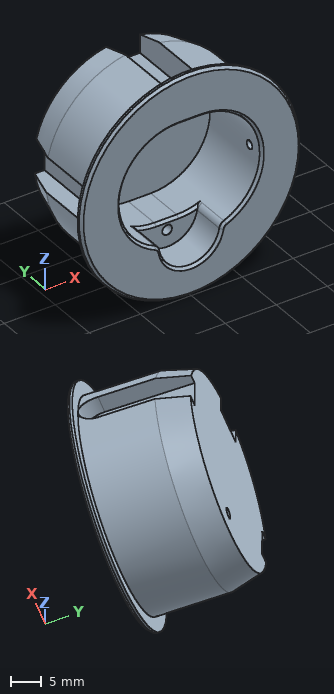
import cadquery as cq

flange_diameter = 43.2
flange_thickness = 1.0
edge_chamfer = 0.5

total_depth = 20.0
body_radius = 19.0
back_radius = 17.5
taper_length = 5.65

recess_height = 23.2
recess_width = 27.6
recess_center_z = 0.85
recess_depth = 15.1

pocket_radius = 5.95
pocket_center_z = -9.97
pocket_depth = 7.0
pocket_corner_radius = 1.5
pocket_hole_diameter = 1.9
pocket_hole_z = -12.65

channel_width = 6.6
top_channel_floor = 13.6
side_channel_floor = 15.4
top_hole_diameter = 2.5
top_hole_y = 4.0
side_hole_diameter = 1.6
side_hole_y = 3.5


def front_plane(y, z=0.0):
    """Plane facing +Y, with local x along -X and local y along +Z."""
    return cq.Workplane(cq.Plane((0, y, z), (-1, 0, 0), (0, 1, 0)))


def make_body():
    """Revolve the chamfered flange and the tapered body around the Y axis."""
    flange_radius = flange_diameter / 2
    return (
        cq.Workplane("XY")
        .lineTo(flange_radius - edge_chamfer, 0)
        .lineTo(flange_radius, edge_chamfer)
        .lineTo(flange_radius, flange_thickness)
        .lineTo(body_radius, flange_thickness)
        .lineTo(body_radius, total_depth - taper_length)
        .lineTo(back_radius, total_depth)
        .lineTo(0, total_depth)
        .close()
        .revolve(360, (0, 0, 0), (0, 1, 0))
    )


def cut_recess(part):
    """Cut the recess and finger pocket, then break their exposed edges."""
    recess = front_plane(0, recess_center_z).slot2D(recess_width, recess_height).extrude(recess_depth)
    pocket = front_plane(0, pocket_center_z).circle(pocket_radius).extrude(pocket_depth)
    part = part.cut(recess).cut(pocket)

    reach = pocket_radius + edge_chamfer
    corner_box = cq.selectors.BoxSelector(
        (-reach, 0, pocket_center_z - reach),
        (reach, pocket_depth, pocket_center_z + reach),
    )
    part = part.edges("|Y").edges(corner_box).fillet(pocket_corner_radius)

    opening_rim = part.faces("<Y").val().innerWires()[0].Edges()
    part = part.newObject(opening_rim).chamfer(edge_chamfer)

    step_bevel = (
        front_plane(pocket_depth, recess_center_z)
        .slot2D(recess_width + 2 * edge_chamfer, recess_height + 2 * edge_chamfer)
        .extrude(edge_chamfer, taper=45)
    )
    floor_point = (0, pocket_depth, pocket_center_z - pocket_radius / 2)
    pocket_floor = part.faces(cq.selectors.NearestToPointSelector(floor_point)).val()
    below_floor = cq.Solid.extrudeLinear(pocket_floor, cq.Vector(0, edge_chamfer, 0))
    return part.cut(step_bevel.intersect(cq.Workplane(below_floor)))


def channel(floor):
    """Channel along +Z, open at the back, whose floor is at the given height."""
    radius = channel_width / 2
    round_end_y = flange_thickness + radius
    return (
        cq.Workplane("XY", origin=(0, 0, floor))
        .moveTo(-radius, total_depth)
        .lineTo(-radius, round_end_y)
        .threePointArc((0, flange_thickness), (radius, round_end_y))
        .lineTo(radius, total_depth)
        .close()
        .extrude(body_radius)
    )


def cut_channels(part):
    """Cut the top channel and the two opposite side channels."""
    part = part.cut(channel(top_channel_floor))
    for angle in (90, -90):
        side = channel(side_channel_floor).rotate((0, 0, 0), (0, 1, 0), angle)
        part = part.cut(side.translate((0, 0, recess_center_z)))
    return part


def cut_holes(part):
    """Drill the top, side and finger-pocket holes."""
    top_hole = (
        cq.Workplane("XY", origin=(0, top_hole_y, recess_center_z))
        .circle(top_hole_diameter / 2)
        .extrude(body_radius)
    )
    side_hole = (
        cq.Workplane("YZ", origin=(0, side_hole_y, recess_center_z))
        .circle(side_hole_diameter / 2)
        .extrude(body_radius, both=True)
    )
    pocket_hole = front_plane(0, pocket_hole_z).circle(pocket_hole_diameter / 2).extrude(total_depth)
    return part.cut(top_hole).cut(side_hole).cut(pocket_hole)


result = cut_holes(cut_channels(cut_recess(make_body())))